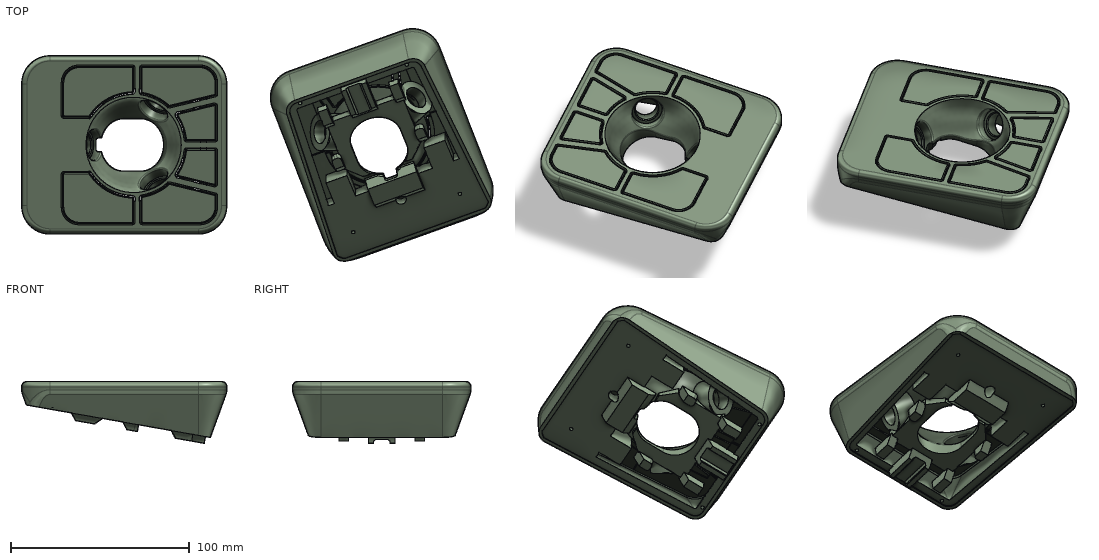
import cadquery as cq
import math


LENGTH = 115.0
WIDTH = 100.0
TOTAL_HEIGHT = 34.71
CORNER_RADIUS = 16.0
TOP_FILLET = 3.0
SIDE_HEIGHT = 6.0
DRAFT = 20.0
DRAFT_HEIGHT = 30.0
DRAFT_FILLET = 7.5
BOTTOM_TILT = 10.0
BOTTOM_DEPTH = 22.9
RIM_WIDTH = 2.0
COVER_RECESS_DEPTH = 1.2
WALL = 6.5
PLATE = 3.0
LEDGE_THICKNESS = 1.2
LEDGE_OVERLAP = 1.0
CAVITY_FRONT_X = -19.5
CAVITY_STEP_X = -6.0
CAVITY_STEP_Y = (23.0, 35.6)
CAVITY_STEP_DEPTH = 20.7
CUT_DEPTH = 60.0

CUP_X = 5.25
CUP_RIM_RADIUS = 26.7
BALL_HEIGHT = 3.0
BALL_RADIUS = math.hypot(CUP_RIM_RADIUS, BALL_HEIGHT)
CUP_WALL = 1.6
FOOT_X = (-10.0, 28.0)
FOOT_WIDTH = 45.4
FOOT_CORNER = 8.0
FOOT_TOP_DEPTH = 17.0
OPENING_X = 4.1
OPENING_FLAT = 10.4
OPENING_WIDTH = 29.2
OPENING_END = 12.8
OPENING_FILLET = 0.8
NOTCH_X = -15.8
NOTCH_WIDTH = 7.6
NOTCH_CORNER = 1.2

SEATS = ((60.0, 7.5), (180.0, 3.0), (300.0, 7.5))
SEAT_DROP_ANGLE = 30.0
SEAT_DIAMETER = 17.35
SEAT_BORE = 12.85
SEAT_DEPTH = 4.0
SEAT_WALL = 1.8
SEAT_EDGE_FILLET = 1.0
BORE_CHAMFER = 0.6

KEY_FRONT_X = -35.3
KEY_REAR_X = 52.3
KEY_SIDE_Y = 44.75
KEY_INNER_Y = 14.75
KEY_SPLIT_X = 7.3
KEY_CENTRE_SPACING = 3.2
KEY_SPLIT_SPACING = 2.4
KEY_ARC_RADIUS = 28.4
KEY_SLANT = 13.75
KEY_SLANT_REAR_Y = 25.6
KEY_OUTER_RADIUS = 10.0
KEY_CORNER_RADIUS = 1.8
KEY_GAP = 0.8
KEY_CHAMFER = 0.6
WINDOW_RADIUS = 31.5
WINDOW_FRONT_X = 20.0
WINDOW_REAR_X = 46.0
WINDOW_WIDTH = 56.0

SCREW_HOLE = 1.9
SCREW_Y = 31.9
SCREW_X = (-40.0, 45.0)
SCREW_DEPTH = 8.0
CENTRE_HOLE = 6.0
CENTRE_HOLE_X = -31.0

LUG_ROOT = 2.0
LUG_LEAD = 3.0
REAR_LUG_START = 27.0
REAR_LUG_END = 46.2
REAR_LUG_WIDTH = 15.0
REAR_LUG_LEG = 2.9
REAR_LUG_ARCH = 2.2
HOOK_START = 26.7
HOOK_END = 39.0
HOOK_Y = 21.3
HOOK_WIDTH = 5.4
SIDE_LUG_START = -0.8
SIDE_LUG_END = 8.2
SIDE_LUG_Y = 24.7
SIDE_LUG_WIDTH = 5.4
SIDE_LUG_ROUNDING = 2.0
FRONT_LUG_START = -30.0
FRONT_LUG_END = -16.3
FRONT_LUG_TAIL = 4.0
FRONT_LUG_WIDTH = 29.2

tilt = math.radians(BOTTOM_TILT)
LUG_DROP = (TOTAL_HEIGHT - BOTTOM_DEPTH - REAR_LUG_END * math.sin(tilt)) / math.cos(tilt)


def box(x_min, x_max, y_min, y_max, z_min, z_max):
    size = (x_max - x_min, y_max - y_min, z_max - z_min)
    return cq.Workplane("XY").box(*size, centered=False).translate((x_min, y_min, z_min))


def tilted(solid):
    """Move a solid from the underside's own frame (X along the slope, Z square to it) into place."""
    return solid.rotate((0, 0, 0), (0, 1, 0), BOTTOM_TILT).translate((0, 0, -BOTTOM_DEPTH))


def above_underside(offset):
    """Half-space above a plane parallel to the underside and raised by `offset`."""
    return tilted(box(-LENGTH, LENGTH, -LENGTH, LENGTH, offset, offset + LENGTH))


def drafted_block(inset):
    """Drafted lower body with rounded rear corners and sharp front corners, moved in by `inset`."""
    block = cq.Workplane("XY").rect(LENGTH - 2 * inset, WIDTH - 2 * inset).extrude(1)
    block = block.edges("|Z and >X").fillet(CORNER_RADIUS - inset)
    outline = block.faces("<Z").wires().vals()[0]
    lower = cq.Workplane("XY").add(outline).toPending().extrude(-DRAFT_HEIGHT, taper=DRAFT)
    return lower.translate((0, 0, -SIDE_HEIGHT))


def upright_block(inset):
    block = cq.Workplane("XY").rect(LENGTH - 2 * inset, WIDTH - 2 * inset).extrude(-CUT_DEPTH)
    return block.edges("|Z").fillet(CORNER_RADIUS - inset)


def shell_body(inset):
    """Upright rounded block whose lower part is cut back by the drafted faces."""
    upright = upright_block(inset)
    top = upright.intersect(box(-LENGTH, LENGTH, -WIDTH, WIDTH, -SIDE_HEIGHT, 0))
    return top.union(upright.intersect(drafted_block(inset)))


def starts_draft(edge):
    """True for the edges where the upright wall meets the drafted faces."""
    bounds = edge.BoundingBox()
    tolerance = 0.01
    level = abs(bounds.zmax + SIDE_HEIGHT) < tolerance
    flat = bounds.zmax - bounds.zmin < tolerance
    at_front_corner = bounds.xmax < CORNER_RADIUS - LENGTH / 2 + tolerance
    return level and (flat or at_front_corner)


def housing():
    body = shell_body(0)
    draft_edges = [edge for edge in body.edges().vals() if starts_draft(edge)]
    body = body.newObject(draft_edges).fillet(DRAFT_FILLET)
    body = body.faces(">Z").edges().fillet(TOP_FILLET)
    return body.intersect(above_underside(0))


def cavity():
    below_plate = box(CAVITY_FRONT_X, LENGTH, -WIDTH, WIDTH, -CUT_DEPTH, -PLATE)
    hollow = shell_body(WALL).intersect(below_plate)
    near_y, far_y = CAVITY_STEP_Y
    for y_min, y_max in ((near_y, far_y), (-far_y, -near_y)):
        block = box(CAVITY_FRONT_X, CAVITY_STEP_X, y_min, y_max, -CAVITY_STEP_DEPTH, 0)
        hollow = hollow.cut(block)
    return hollow


def cover_recess():
    lower = box(-LENGTH, LENGTH, -WIDTH, WIDTH, -CUT_DEPTH, -SIDE_HEIGHT)
    return shell_body(RIM_WIDTH).intersect(lower).cut(above_underside(COVER_RECESS_DEPTH))


def ball(radius):
    return cq.Workplane("XY").sphere(radius).translate((CUP_X, 0, BALL_HEIGHT))


def cup_outside():
    """Outside of the cup: a ball, a boss behind each bearing seat and a flat foot."""
    cup = ball(BALL_RADIUS + CUP_WALL)
    boss_start = BALL_RADIUS * math.cos(math.radians(SEAT_DROP_ANGLE))
    boss_radius = SEAT_DIAMETER / 2 + SEAT_WALL
    for azimuth, bore_length in SEATS:
        boss_length = BALL_RADIUS + SEAT_DEPTH + bore_length - boss_start
        boss = cq.Workplane("XY").workplane(offset=boss_start).circle(boss_radius)
        cup = cup.union(on_seat_axis(boss.extrude(boss_length), azimuth))
    foot = box(*FOOT_X, -FOOT_WIDTH / 2, FOOT_WIDTH / 2, -CUT_DEPTH, -FOOT_TOP_DEPTH)
    cup = cup.union(foot.edges("|Z and <X").chamfer(FOOT_CORNER))
    below_plate = box(-LENGTH, LENGTH, -WIDTH, WIDTH, -CUT_DEPTH, -PLATE)
    return cup.intersect(below_plate).intersect(above_underside(COVER_RECESS_DEPTH))


def on_seat_axis(solid, azimuth):
    """Turn a solid from the Z axis onto a bearing seat's axis through the ball centre."""
    solid = solid.rotate((0, 0, 0), (0, 1, 0), 90 + SEAT_DROP_ANGLE)
    return solid.rotate((0, 0, 0), (0, 0, 1), azimuth).translate((CUP_X, 0, BALL_HEIGHT))


def seat_space(bore_length):
    """Stepped bearing seat along Z, its mouth rounded tangent to the ball."""
    seat_radius = SEAT_DIAMETER / 2
    bore_radius = SEAT_BORE / 2
    floor = BALL_RADIUS + SEAT_DEPTH
    end = floor + bore_length
    arc_x = seat_radius + SEAT_EDGE_FILLET
    arc_z = math.sqrt((BALL_RADIUS + SEAT_EDGE_FILLET) ** 2 - arc_x**2)
    to_ball = BALL_RADIUS / (BALL_RADIUS + SEAT_EDGE_FILLET)
    ball_end = (arc_x * to_ball, arc_z * to_ball)
    middle_angle = math.pi + math.atan2(arc_z, arc_x) / 2
    arc_middle = (
        arc_x + SEAT_EDGE_FILLET * math.cos(middle_angle),
        arc_z + SEAT_EDGE_FILLET * math.sin(middle_angle),
    )
    profile = cq.Workplane("XZ").moveTo(0, ball_end[1]).lineTo(*ball_end)
    profile = profile.threePointArc(arc_middle, (seat_radius, arc_z)).lineTo(seat_radius, floor)
    profile = profile.lineTo(bore_radius + BORE_CHAMFER, floor).lineTo(bore_radius, floor + BORE_CHAMFER)
    profile = profile.lineTo(bore_radius, end).lineTo(0, end).close()
    return profile.revolve(360, (0, 0), (0, 1))


def ball_space():
    space = ball(BALL_RADIUS)
    for azimuth, bore_length in SEATS:
        space = space.union(on_seat_axis(seat_space(bore_length), azimuth))
    return space


def bottom_opening():
    """Slot with elliptical ends through the bottom of the cup, plus a notch at its front."""
    opening = cq.Workplane("XY").rect(OPENING_FLAT, OPENING_WIDTH).extrude(-CUT_DEPTH)
    for side in (-1, 1):
        end = cq.Workplane("XY").ellipse(OPENING_END, OPENING_WIDTH / 2).extrude(-CUT_DEPTH)
        opening = opening.union(end.translate((side * OPENING_FLAT / 2, 0, 0)))
    opening = opening.translate((OPENING_X, 0, 0))
    opening = opening.rotate((0, 0, -BOTTOM_DEPTH), (0, 1, -BOTTOM_DEPTH), BOTTOM_TILT)
    notch = box(NOTCH_X, OPENING_X, -NOTCH_WIDTH / 2, NOTCH_WIDTH / 2, -CUT_DEPTH, -SIDE_HEIGHT)
    return opening.union(notch.edges("|Z and <X").fillet(NOTCH_CORNER))


def is_opening_edge(edge):
    """True for the edges in which the bottom opening leaves the ball surface."""
    tolerance = 0.02
    centre = cq.Vector(CUP_X, 0, BALL_HEIGHT)
    for fraction in (0, 0.5, 1):
        point = edge.positionAt(fraction)
        on_ball = abs((point - centre).Length - BALL_RADIUS) < tolerance
        beside_opening = abs(point.y) < OPENING_WIDTH / 2 + tolerance
        if not (on_ball and beside_opening and point.z < -BALL_RADIUS / 2):
            return False
    return True


def round_opening(body):
    edges = [edge for edge in body.edges().vals() if is_opening_edge(edge)]
    return body.newObject(edges).fillet(OPENING_FILLET)


def slant_y(x, offset):
    """Y on the slanted boundary between the rear keys, moved sideways by `offset`."""
    slope = math.tan(math.radians(KEY_SLANT))
    shift = offset / math.cos(math.radians(KEY_SLANT))
    return KEY_SLANT_REAR_Y + shift - (KEY_REAR_X - x) * slope


def key_outlines():
    """Corners of the three key pockets on the +Y side, each with its large outer corner, if any."""
    half_split = KEY_SPLIT_SPACING / 2
    half_centre = KEY_CENTRE_SPACING / 2
    front = [
        (KEY_FRONT_X, KEY_INNER_Y),
        (KEY_SPLIT_X - half_split, KEY_INNER_Y),
        (KEY_SPLIT_X - half_split, KEY_SIDE_Y),
        (KEY_FRONT_X, KEY_SIDE_Y),
    ]
    rear_start = KEY_SPLIT_X + half_split
    rear = [
        (rear_start, slant_y(rear_start, half_centre)),
        (KEY_REAR_X, slant_y(KEY_REAR_X, half_centre)),
        (KEY_REAR_X, KEY_SIDE_Y),
        (rear_start, KEY_SIDE_Y),
    ]
    middle = [
        (CUP_X, half_centre),
        (KEY_REAR_X, half_centre),
        (KEY_REAR_X, slant_y(KEY_REAR_X, -half_centre)),
        (CUP_X, slant_y(CUP_X, -half_centre)),
    ]
    return [(front, front[3]), (rear, rear[2]), (middle, None)]


def key_pocket(corners, large_corner):
    """Key-shaped prism through the top plate, kept clear of the cup rim and rounded."""
    pocket = cq.Workplane("XY").polyline(corners).close().extrude(-PLATE)
    rim = cq.Workplane("XY").circle(KEY_ARC_RADIUS).extrude(-PLATE).translate((CUP_X, 0, 0))
    pocket = pocket.cut(rim)
    small_corners = cq.selectors.ParallelDirSelector(cq.Vector(0, 0, 1))
    if large_corner:
        at_large = cq.selectors.NearestToPointSelector((*large_corner, -PLATE / 2))
        pocket = pocket.edges(small_corners - at_large).fillet(KEY_CORNER_RADIUS)
        return pocket.edges(at_large).fillet(KEY_OUTER_RADIUS)
    return pocket.edges(small_corners).fillet(KEY_CORNER_RADIUS)


def key_body(pocket):
    """Key with a chamfered top, smaller than its pocket by the gap all round."""
    outline = pocket.faces("<Z").wires().vals()[0]
    key = cq.Workplane("XY").add(outline).toPending().offset2D(-KEY_GAP).extrude(PLATE)
    return key.faces(">Z").edges().chamfer(KEY_CHAMFER)


def cut_keys(body):
    """Cut the key slots; a thin ledge below the plate keeps each key joined along its outer sides."""
    ledge_bottom = -PLATE - LEDGE_THICKNESS
    windows = cq.Workplane("XY").circle(WINDOW_RADIUS).extrude(ledge_bottom).translate((CUP_X, 0, 0))
    half_window = WINDOW_WIDTH / 2
    rear_window = box(WINDOW_FRONT_X, WINDOW_REAR_X, -half_window, half_window, ledge_bottom, 0)
    windows = windows.union(rear_window)
    for corners, large_corner in key_outlines():
        pocket = key_pocket(corners, large_corner)
        slot = pocket.cut(key_body(pocket))
        outline = pocket.faces("<Z").wires().vals()[0]
        ledge = cq.Workplane("XY").add(outline).toPending().offset2D(LEDGE_OVERLAP)
        ledge = ledge.extrude(-LEDGE_THICKNESS).cut(windows)
        for part_slot, part_ledge in ((slot, ledge), (slot.mirror("XZ"), ledge.mirror("XZ"))):
            body = body.union(part_ledge).cut(part_slot)
    return body


def lug(start, end, width, tail=0):
    """Lug in the underside's frame with a slanted front face; `tail` is the run of its rear face."""
    profile = [
        (start - LUG_LEAD * LUG_ROOT / LUG_DROP, LUG_ROOT),
        (start + LUG_LEAD, -LUG_DROP),
        (end, -LUG_DROP),
        (end + tail, 0),
        (end + tail, LUG_ROOT),
    ]
    return cq.Workplane("XZ").polyline(profile).close().extrude(width / 2, both=True)


def rear_lug():
    """Central rear lug, arched underneath so that two legs stand at its sides."""
    solid = lug(REAR_LUG_START, REAR_LUG_END, REAR_LUG_WIDTH)
    half_arch = REAR_LUG_WIDTH / 2 - REAR_LUG_LEG
    arch = box(0, LENGTH, -half_arch, half_arch, -LUG_DROP, REAR_LUG_ARCH - LUG_DROP)
    arch = arch.edges("|X and >Z").chamfer(REAR_LUG_ARCH / 2)
    return solid.cut(arch)


def add_lugs(body):
    body = body.union(tilted(rear_lug()))
    front_lug = lug(FRONT_LUG_START, FRONT_LUG_END, FRONT_LUG_WIDTH, FRONT_LUG_TAIL)
    body = body.union(tilted(front_lug))
    hook = lug(HOOK_START, HOOK_END, HOOK_WIDTH)
    side_lug = lug(SIDE_LUG_START, SIDE_LUG_END, SIDE_LUG_WIDTH)
    side_lug = side_lug.edges("|Z and >X").fillet(SIDE_LUG_ROUNDING)
    for side in (-1, 1):
        body = body.union(tilted(hook.translate((0, side * HOOK_Y, 0))))
        body = body.union(tilted(side_lug.translate((0, side * SIDE_LUG_Y, 0))))
    return body


def screw_hole(diameter, x, y):
    """Blind hole square to the underside, running down through any lug in its way."""
    along = x / math.cos(tilt)
    hole = cq.Workplane("XY").circle(diameter / 2).extrude(SCREW_DEPTH + LUG_DROP)
    return tilted(hole.translate((along, y, -LUG_DROP)))


def cut_screw_holes(body):
    body = body.cut(screw_hole(CENTRE_HOLE, CENTRE_HOLE_X, 0))
    for x in SCREW_X:
        for y in (-SCREW_Y, SCREW_Y):
            body = body.cut(screw_hole(SCREW_HOLE, x, y))
    return body


shell = housing().cut(cavity()).cut(cover_recess())
shell = shell.union(cup_outside())
shell = add_lugs(shell)
shell = cut_keys(shell)
shell = shell.cut(ball_space()).cut(bottom_opening())
shell = round_opening(shell)
result = cut_screw_holes(shell)